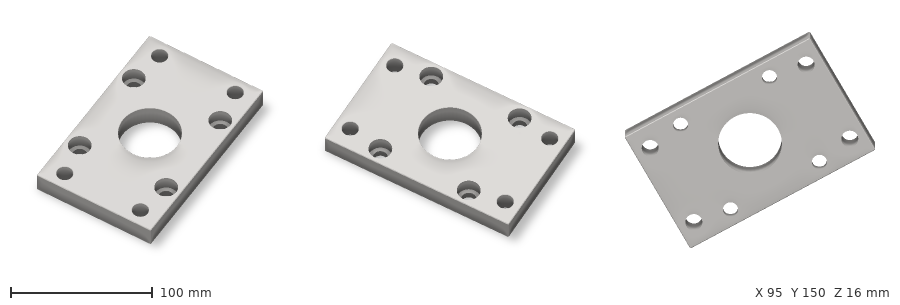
import cadquery as cq

width = 95.0
length = 150.0
thickness = 16.0
edge_chamfer = 0.5

rim_chamfer = 0.25
rim_angle = 90

bore_diameter = 45.0

corner_hole_diameter = 12.0
corner_spacing_x = 63.0
corner_spacing_y = 126.3

screw_hole_diameter = 10.6
counterbore_diameter = 16.8
counterbore_depth = 10.5
screw_spacing = 72.0


def make_plate():
    """Chamfered plate, centred in X and Y, standing on Z = 0."""
    plate = cq.Workplane("XY").box(width, length, thickness, centered=(True, True, False))
    return plate.edges().chamfer(edge_chamfer)


def top_center(body):
    """Workplane on the top face, centred on the plate."""
    return body.faces(">Z").workplane(origin=(0, 0, thickness))


def cut_bore(body):
    return top_center(body).cskHole(bore_diameter, bore_diameter + 2 * rim_chamfer, rim_angle)


def cut_corner_holes(body):
    centers = top_center(body).rarray(corner_spacing_x, corner_spacing_y, 2, 2)
    rim_diameter = corner_hole_diameter + 2 * rim_chamfer
    return centers.cskHole(corner_hole_diameter, rim_diameter, rim_angle)


def cut_screw_holes(body):
    centers = top_center(body).rarray(screw_spacing, screw_spacing, 2, 2)
    return centers.cboreHole(screw_hole_diameter, counterbore_diameter, counterbore_depth)


result = cut_screw_holes(cut_corner_holes(cut_bore(make_plate())))